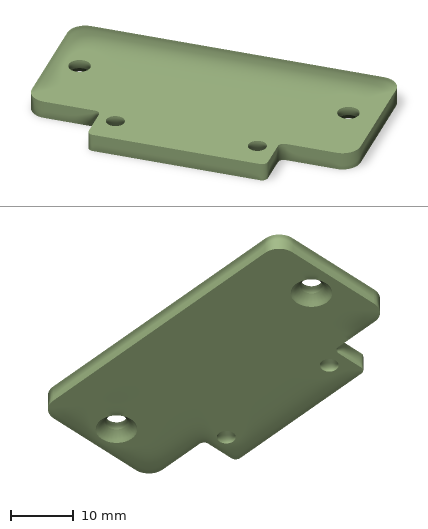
import cadquery as cq

length = 55.0
total_width = 31.0
thickness = 3.0

body_width = 24.0
body_corner_radius = 3.0
tab_length = 30.0
tab_width = total_width - body_width
tab_corner_radius = 1.0

body_hole_diameter = 3.6
body_hole_inset = 5.0
countersink_diameter = 6.6
countersink_angle = 90.0
tab_hole_diameter = 3.0
tab_hole_spacing = 23.75
tab_hole_offset = 2.0

body_edge_y = -body_width / 2
tab_edge_y = body_edge_y - tab_width


def make_plate():
    """Rounded rectangular body joined to a tab with blended corners."""
    body = (
        cq.Workplane("XY")
        .rect(length, body_width)
        .extrude(thickness)
        .edges("|Z")
        .fillet(body_corner_radius)
    )
    tab = (
        cq.Workplane("XY")
        .center(0, tab_edge_y / 2)
        .rect(tab_length, -tab_edge_y)
        .extrude(thickness)
        .edges("|Z and <Y")
        .fillet(tab_corner_radius)
    )
    plate = body.union(tab)
    for x in (-tab_length / 2, tab_length / 2):
        inner_corner = cq.selectors.NearestToPointSelector((x, body_edge_y, thickness / 2))
        plate = plate.edges("|Z").edges(inner_corner).fillet(tab_corner_radius)
    return plate


def symmetric_points(spacing, y):
    """Two points placed symmetrically about the YZ plane."""
    return [(-spacing / 2, y), (spacing / 2, y)]


def cut_tab_holes(plate):
    """Cut the plain through holes in the tab."""
    centres = symmetric_points(tab_hole_spacing, body_edge_y - tab_hole_offset)
    holes = cq.Workplane("XY").pushPoints(centres).circle(tab_hole_diameter / 2).extrude(thickness)
    return plate.cut(holes)


def cut_body_holes(plate):
    """Cut the body through holes, countersunk from the underside."""
    centres = symmetric_points(length - 2 * body_hole_inset, 0)
    underside = plate.faces("<Z").workplane(origin=(0, 0, 0))
    return underside.pushPoints(centres).cskHole(body_hole_diameter, countersink_diameter, countersink_angle)


result = cut_body_holes(cut_tab_holes(make_plate()))